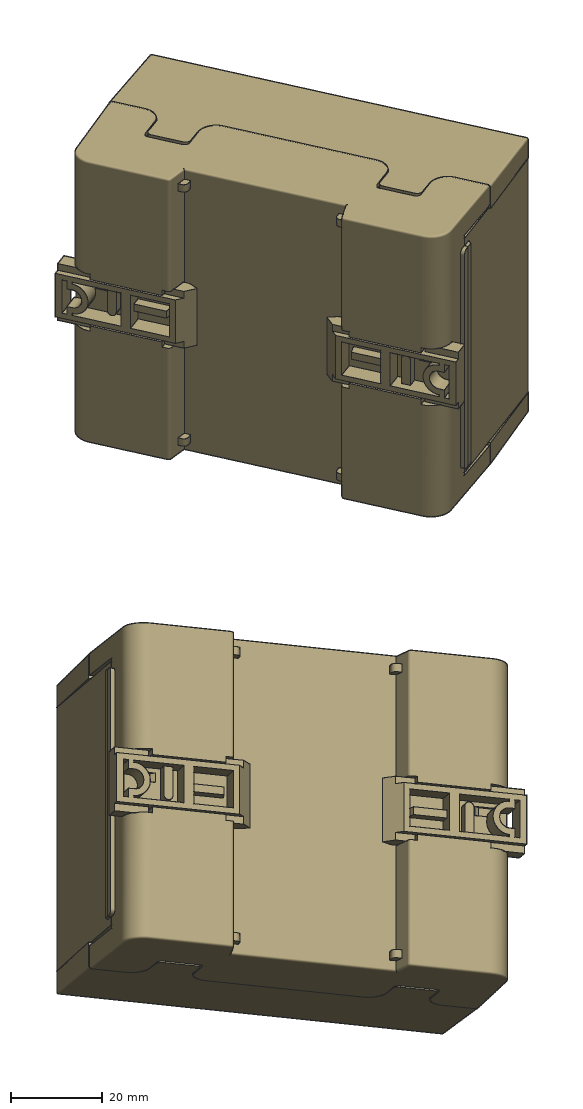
import cadquery as cq
import math


depth = 47.8
height = 72.5
y_front = -depth / 2
y_back = depth / 2
z_end = height / 2
seam_y = 1.2
edge_round = 0.5

cavity_half_x = 42.75
cavity_half_z = 33.9
cavity_front = -16.6
back_wall = 1.9
cavity_back = y_back - back_wall

base_seam_half_x = 45.0
base_front_half_x = 44.4
corner_radius = 4.9
channel_floor_y = -18.6
channel_front_half_x = 20.3
channel_floor_half_x = 19.1
channel_lip_round = 0.8

cover_tip_half_x = 45.4
cover_back_half_x = 44.8
cover_back_half_z = 35.4

flap_face_x = 44.7
flap_half_z = 30.2
flap_front = -12.35
flap_clearance = 0.8

ridge_face_x = 45.6
ridge_half_z = 28.3
ridge_back = -10.0
ridge_crest = -10.9
ridge_front = -14.4
ridge_corner = 1.1

tongue_x = 27.5
tongue_thickness = 1.1
tongue_half_width = 5.0
tongue_length = 9.5
recess_half_width = 5.2
recess_length = 10.5
tongue_root_half_width = 9.3
tongue_tip_radius = 1.2

stop_width = 2.1
stop_depth = 2.3
stop_height = 1.9
stop_z = 32.8
stop_round = 1.1

clip_end = 47.5
clip_back = -18.9
clip_half_z = 7.3
clip_bar_half_z = 5.6
ear_setback = 1.4
ear_front = y_front + ear_setback
outer_ear_end = 39.6
inner_ear_end = 22.1
hook_start = 19.0
hook_tip_x = 15.4
hook_tip_y = -20.2
hook_back_x = 17.7
clip_gap = 0.4

pocket_half_z = 4.3
pocket_depth = 4.3
pocket_floor = y_front + pocket_depth
rib_setback = 1.9
rib_front = y_front + rib_setback
outer_pocket_end = 45.9
outer_pocket_floor_end = 44.4
outer_pocket_inside = 31.9
inner_pocket_start = 29.6
inner_pocket_end = 20.4

boss_x = 43.5
boss_wall_x = 44.7
boss_radius = 3.8
bore_radius = 2.3

cross_rib_x = 34.9
cross_rib_width = 2.1
cross_rib_reach = 7.6
long_rib_width = 1.8
long_rib_end = 21.4
long_rib_bevel = 0.6
slot_z = 2.2
slot_width = 2.1
slot_end = 37.05
slot_ramp = 1.0


def box(x_range, y_range, z_range):
    """A block given by its limits along each axis, in either order."""
    spans = [sorted(limits) for limits in (x_range, y_range, z_range)]
    sizes = [high - low for low, high in spans]
    corner = [low for low, high in spans]
    return cq.Workplane("XY").box(*sizes, centered=False).translate(tuple(corner))


def prism(points, z_low, z_high):
    """A polygon in the XY plane extruded between two heights."""
    return cq.Workplane("XY").workplane(offset=z_low).polyline(points).close().extrude(z_high - z_low)


def mirrored_pair(body):
    """A body together with its mirror image across the YZ plane."""
    return body.union(body.mirror("YZ"))


def cavity():
    return box(
        (-cavity_half_x, cavity_half_x), (cavity_front, cavity_back), (-cavity_half_z, cavity_half_z)
    )


def tongue_plates(half_width, length):
    """Four rounded plates, with flared roots, that reach forward from the seam in both Z faces."""
    flare = tongue_root_half_width - half_width
    flare_mid_x = tongue_root_half_width - flare * math.sin(math.pi / 4)
    flare_mid_y = seam_y - flare * (1 - math.cos(math.pi / 4))
    plate = (
        cq.Workplane("XY").workplane(offset=z_end - tongue_thickness)
        .moveTo(-tongue_root_half_width, seam_y)
        .threePointArc((-flare_mid_x, flare_mid_y), (-half_width, seam_y - flare))
        .lineTo(-half_width, seam_y - length)
        .lineTo(half_width, seam_y - length)
        .lineTo(half_width, seam_y - flare)
        .threePointArc((flare_mid_x, flare_mid_y), (tongue_root_half_width, seam_y))
        .close()
        .extrude(tongue_thickness)
        .edges("|Z and <Y").fillet(tongue_tip_radius)
        .translate((-tongue_x, 0, 0))
    )
    upper = mirrored_pair(plate)
    return upper.union(upper.mirror("XY"))


def grip_ridges():
    """The ridge on each side: a ramp at its back end and rounded corners at its front end."""
    ridge = prism(
        [
            (-cavity_half_x, ridge_back),
            (-flap_face_x, ridge_back),
            (-ridge_face_x, ridge_crest),
            (-ridge_face_x, ridge_front),
            (-cavity_half_x, ridge_front),
        ],
        -ridge_half_z,
        ridge_half_z,
    )
    return mirrored_pair(ridge.edges("|X and <Y").fillet(ridge_corner))


def ridge_part(y_range):
    """The stretch of both grip ridges that lies between two depths."""
    slab = box((-clip_end, clip_end), y_range, (-z_end, z_end))
    return grip_ridges().intersect(slab)


def base_block():
    half = [
        (base_seam_half_x, seam_y),
        (base_front_half_x, y_front),
        (channel_front_half_x, y_front),
        (channel_floor_half_x, channel_floor_y),
    ]
    mirrored = [(-x, y) for x, y in reversed(half)]
    block = prism(half + mirrored, -z_end, z_end)
    block = block.edges("|Z and <Y").edges("<X or >X").fillet(corner_radius)
    block = block.edges("|Z and <Y").edges("not(<X or >X)").fillet(channel_lip_round)
    for face in (">Z", "<Z"):
        block = block.faces(face).edges("not(>Y)").fillet(edge_round)
    return block


def flap_openings():
    half_z = flap_half_z + flap_clearance
    return box((-clip_end, clip_end), (flap_front, seam_y), (-half_z, half_z))


def clip_grooves():
    """Grooves that hold the clips: a loose fit along the bar and an exact fit at the ears."""
    bar_half_z = clip_bar_half_z + clip_gap
    y_range = (y_front, clip_back)
    groove = box((-clip_end, -hook_tip_x), y_range, (-bar_half_z, bar_half_z))
    outer_ears = box((-clip_end, clip_gap - outer_ear_end), y_range, (-clip_half_z, clip_half_z))
    inner_ears = box((-inner_ear_end, -hook_tip_x), y_range, (-clip_half_z, clip_half_z))
    return mirrored_pair(groove.union(outer_ears).union(inner_ears))


def stop_blocks():
    wall = channel_floor_half_x + stop_round / 2
    block = box(
        (-wall, stop_width - wall),
        (channel_floor_y - stop_depth, channel_floor_y),
        (stop_z - stop_height / 2, stop_z + stop_height / 2),
    )
    upper = mirrored_pair(block.edges("|Z and <Y and >X").fillet(stop_round))
    return upper.union(upper.mirror("XY"))


def make_base():
    base = base_block().cut(cavity()).cut(flap_openings()).cut(clip_grooves())
    base = base.cut(tongue_plates(recess_half_width, recess_length))
    base = base.union(stop_blocks())
    return base.union(ridge_part((ridge_front, flap_front)))


def drafted_envelope():
    """The outer faces of the cover, which spread from the back to the tips of the tongues."""
    tip_y = seam_y - tongue_length
    return (
        cq.Workplane("XZ", origin=(0, tip_y, 0))
        .rect(2 * cover_tip_half_x, height)
        .workplane(offset=tip_y - y_back)
        .rect(2 * cover_back_half_x, 2 * cover_back_half_z)
        .loft(ruled=True)
    )


def cover_block():
    behind_seam = box((-clip_end, clip_end), (seam_y, y_back), (-z_end, z_end))
    return drafted_envelope().intersect(behind_seam).edges("not(<Y)").fillet(edge_round)


def cover_tongues():
    return tongue_plates(tongue_half_width, tongue_length).intersect(drafted_envelope())


def side_reliefs():
    """Slabs that trim the flared sides flat where the flaps run."""
    slab = box((-clip_end, -flap_face_x), (seam_y, y_back), (-flap_half_z, flap_half_z))
    return mirrored_pair(slab)


def flaps():
    flap = box((-flap_face_x, -cavity_half_x), (flap_front, seam_y), (-flap_half_z, flap_half_z))
    return mirrored_pair(flap).union(ridge_part((flap_front, ridge_back)))


def make_cover():
    cover = cover_block().cut(cavity()).cut(side_reliefs())
    return cover.union(flaps()).union(cover_tongues()).clean()


def clip_block():
    block = prism(
        [
            (-clip_end, y_front),
            (-hook_start, y_front),
            (-hook_tip_x, hook_tip_y),
            (-hook_back_x, clip_back),
            (-clip_end, clip_back),
        ],
        -clip_half_z,
        clip_half_z,
    )
    edge_strip = box((-clip_end, -hook_tip_x), (y_front, ear_front), (clip_bar_half_z, clip_half_z))
    waist = box((-outer_ear_end, -inner_ear_end), (y_front, clip_back), (clip_bar_half_z, clip_half_z))
    side_cut = edge_strip.union(waist)
    return block.cut(side_cut).cut(side_cut.mirror("XY"))


def boss():
    """A wall across the outer pocket that swells into a half round with a bore in it."""
    y_range = (y_front, pocket_floor)
    wall = box((-boss_wall_x, -boss_x), y_range, (-pocket_half_z, pocket_half_z))
    axis = cq.Workplane("XZ", origin=(-boss_x, pocket_floor, 0))
    half_round = axis.circle(boss_radius).extrude(pocket_depth)
    half_round = half_round.intersect(
        box((-boss_x, boss_radius - boss_x), y_range, (-boss_radius, boss_radius))
    )
    bore = axis.circle(bore_radius).extrude(pocket_depth)
    bore_mouth = box((-boss_wall_x, -boss_x), y_range, (-bore_radius, bore_radius))
    return wall.union(half_round).cut(bore).cut(bore_mouth)


def outer_pocket():
    """The pocket at the free end, open at the back near its end wall, with a bored boss left standing."""
    z_range = (-pocket_half_z, pocket_half_z)
    pocket = box((-outer_pocket_end, -outer_pocket_inside), (y_front, pocket_floor), z_range)
    back_opening = box((-outer_pocket_end, -outer_pocket_floor_end), (pocket_floor, clip_back), z_range)
    return pocket.cut(boss()).union(back_opening)


def inner_pocket():
    """The pocket behind the hook, with a rib along its middle left standing."""
    pocket = box(
        (-inner_pocket_start, -inner_pocket_end), (y_front, pocket_floor), (-pocket_half_z, pocket_half_z)
    )
    rib = prism(
        [
            (-inner_pocket_start, rib_front),
            (-long_rib_end - long_rib_bevel, rib_front),
            (-long_rib_end, pocket_floor),
            (-inner_pocket_start, pocket_floor),
        ],
        -long_rib_width / 2,
        long_rib_width / 2,
    )
    return pocket.cut(rib)


def cross_rib():
    """A rib with a rounded tip, standing across the outer pocket from its upper wall."""
    radius = cross_rib_width / 2
    tip_z = pocket_half_z - cross_rib_reach + radius
    shank = box(
        (-cross_rib_x - radius, -cross_rib_x + radius), (rib_front, pocket_floor), (tip_z, pocket_half_z)
    )
    tip = cq.Workplane("XZ", origin=(-cross_rib_x, pocket_floor, tip_z))
    return shank.union(tip.circle(radius).extrude(pocket_floor - rib_front))


def floor_slot():
    """A slot through the floor of the outer pocket, from the boss to a ramped end."""
    slot = prism(
        [
            (-boss_x, pocket_floor),
            (-slot_end, pocket_floor),
            (-slot_end - slot_ramp, clip_back),
            (-boss_x, clip_back),
        ],
        slot_z - slot_width / 2,
        slot_z + slot_width / 2,
    )
    foot = cq.Workplane("XZ", origin=(-boss_x, clip_back, 0)).circle(boss_radius)
    return slot.cut(foot.extrude(clip_back - pocket_floor))


def make_clip(side):
    """A clip for one side, -1 or +1; the cross rib hangs from the top at -1 and stands up at +1."""
    rib = cross_rib() if side < 0 else cross_rib().mirror("XY")
    clip = clip_block().cut(outer_pocket()).cut(inner_pocket()).cut(floor_slot()).union(rib)
    return clip if side < 0 else clip.mirror("YZ")


base = make_base()
cover = make_cover()
clips = [make_clip(side) for side in (-1, 1)]

result = cq.Compound.makeCompound([base.val(), cover.val(), *[clip.val() for clip in clips]])